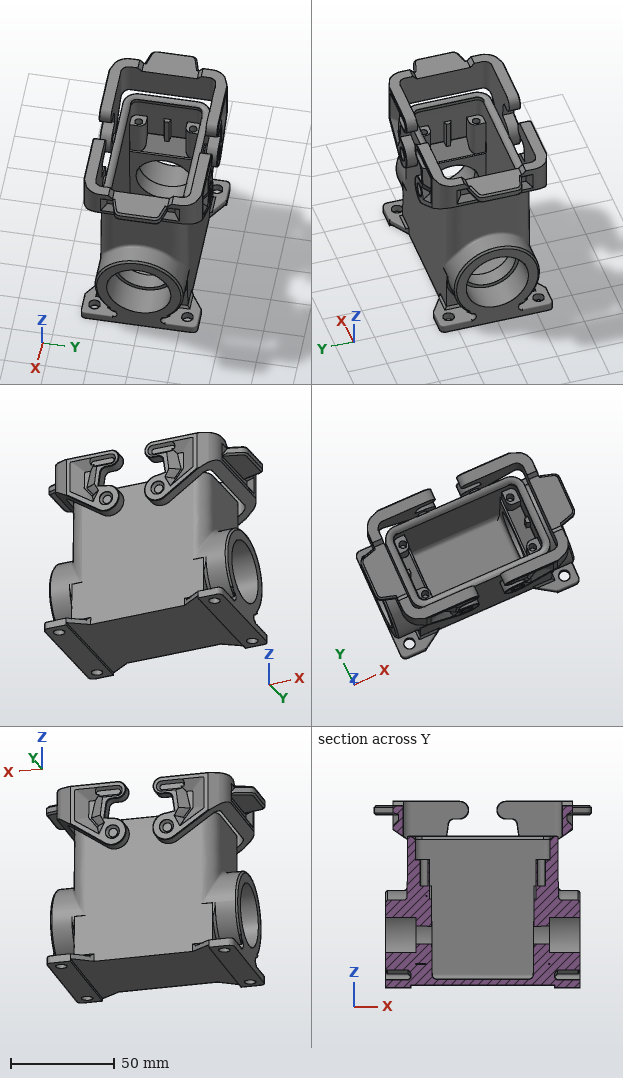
import cadquery as cq
import math

total_height = 90.2
body_bottom = 1.3
rim_top = 73.4
rim_outer_edge = 73.2
rim_inner_edge = 71.6
rim_bulge = 0.7
draft_top = 68.5
body_half_x = 36.4
body_half_y = 21.3
body_corner_radius = 7.0
wall_draft = 0.55
base_half_x = 34.8

opening_half_x = 32.4
opening_half_y = 17.5
opening_corner_radius = 3.0
floor_level = 4.2
floor_fillet = 2.3
well_half_x = 25.0
shelf_half_x = 25.7
slope_bottom = 43.0
post_top = 62.0
slope_top = 49.4
post_length = 7.8
post_radius = 3.2
screw_x = 28.4
screw_y = 13.3
screw_radius = 1.84
screw_depth = 12.6
key_root_width = 3.6
key_tip_width = 2.1
key_depth = 2.0

entry_height = 25.5
collar_radius = 21.6
collar_end = 47.0
collar_chamfer = 0.9
neck_fillet = 1.3
entry_radius = 15.8
bore_radius = 14.0
entry_depth = 14.7
web_half_width = 10.7
web_flare = 2.1

foot_half_y = 28.6
foot_height = 4.0
foot_corner_radius = 2.5
foot_edge = 0.6
gusset_x = 23.7
foot_root = 1.2
foot_hole_x = 41.0
foot_hole_y = 22.8
foot_hole_radius = 2.7

lever_x = 43.5
lever_half_y = 29.03
arm_thickness = 5.8
end_thickness = 5.1
arm_edge = 0.3
lever_corner_start = 9.0
lever_corner_bend_x = 3.8
lever_corner_bend_y = 2.05
lever_corner_radius = 8.4
lever_inner_radius = 3.8
lever_corner_height = 76.5
nose_x = 11.1
nose_radius = 4.3
pivot_x = 13.6
pivot_height = 64.6
pivot_boss_radius = 6.9
hook_x = 16.6
hook_height = 78.8
hook_radius = 2.8
throat_x = 17.5
throat_height = 72.2
pin_radius = 2.2
pin_base_radius = 3.5
pin_recess = 1.6
pin_embed = 2.1
pin_bevel = pin_base_radius - pin_radius
lever_pocket_depth = 2.8
lever_pocket_fillet = 1.6
slot_x = 16.0
slot_height = 85.5
slot_length = 14.7
slot_width = 5.4
slot_depth = 1.6
slot_taper = 40

tab_end = 52.5
tab_end_half_y = 10.7
tab_root_half_y = 13.3
tab_top = 88.1
tab_bottom = 83.6
tab_corner_radius = 3.2
tab_edge = 0.9
notch_half_y = 13.5
notch_top_half_y = 15.5
grip_half_y = 19.3
grip_bottom = 78.2
grip_top = 86.9
grip_depth = 2.7


def block(x0, x1, y0, y1, z0, z1):
    return cq.Workplane("XY").box(x1 - x0, y1 - y0, z1 - z0, centered=False).translate((x0, y0, z0))


def rounded_prism(half_x, half_y, radius, z0, z1):
    prism = block(-half_x, half_x, -half_y, half_y, z0, z1)
    return prism.edges("|Z").fillet(radius)


def in_four_corners(shape):
    pair = shape.union(shape.mirror("YZ"))
    return pair.union(pair.mirror("XZ"))


def cylinder_y(x, z, radius, y0, y1):
    return cq.Workplane("XZ", origin=(x, y0, z)).circle(radius).extrude(y0 - y1)


def cylinder_x(radius, x0, x1):
    return cq.Workplane("YZ", origin=(x0, 0, entry_height)).circle(radius).extrude(x1 - x0)


def make_rim_cutter():
    """Ring that leaves the rim domed between its outer and inner edges."""
    wall = body_half_y - opening_half_y
    path = rounded_prism(body_half_x, body_half_y, body_corner_radius, rim_top, total_height).faces("<Z").wires()
    middle = (rim_outer_edge + rim_inner_edge) / 2 + rim_bulge
    profile = (
        cq.Workplane("YZ")
        .moveTo(body_half_y, rim_outer_edge)
        .threePointArc((body_half_y - wall / 2, middle), (opening_half_y, rim_inner_edge))
        .lineTo(opening_half_y, total_height)
        .lineTo(body_half_y, total_height)
        .close()
    )
    return profile.sweep(path)


def make_body():
    """Round-cornered housing whose lowest part has square corners."""
    upper = rounded_prism(body_half_x, body_half_y, body_corner_radius, draft_top, rim_top)
    drafted = (
        upper.faces("<Z").wires().toPending()
        .workplane(origin=(0, 0, draft_top))
        .extrude(draft_top - entry_height, taper=-wall_draft, combine=False)
    )
    base = (
        cq.Workplane("XY", origin=(0, 0, draft_top))
        .rect(2 * body_half_x, 2 * body_half_y)
        .extrude(body_bottom - draft_top, taper=-wall_draft)
    )
    base = base.intersect(block(-base_half_x, base_half_x, -collar_end, collar_end, body_bottom, entry_height))
    return upper.union(drafted).union(base)


def make_collar():
    """Cable entry boss at the -X end, with the web that joins it to the feet."""
    collar = cylinder_x(collar_radius, -collar_end, -shelf_half_x)
    reach = collar_radius * math.sin(math.radians(45))
    waist = web_half_width + web_flare
    web = (
        cq.Workplane("YZ", origin=(-collar_end, 0, 0))
        .moveTo(-reach, entry_height - reach)
        .lineTo(-waist, foot_height + 2 * web_flare)
        .threePointArc((-web_half_width, foot_height + web_flare), (-waist, foot_height))
        .lineTo(-waist, 0)
        .lineTo(waist, 0)
        .lineTo(waist, foot_height)
        .threePointArc((web_half_width, foot_height + web_flare), (waist, foot_height + 2 * web_flare))
        .lineTo(reach, entry_height - reach)
        .close()
        .extrude(collar_end - base_half_x)
    )
    lower_neck = (
        cq.Workplane("YZ", origin=(-base_half_x, 0, entry_height))
        .circle(collar_radius + neck_fillet)
        .extrude(-neck_fillet, taper=45)
        .intersect(block(-collar_end, 0, -collar_radius, collar_radius, foot_height, entry_height))
    )
    return collar.faces("<X").edges().chamfer(collar_chamfer).union(web).union(lower_neck)


def fillet_neck(housing, side):
    """Round the joint between the upper wall and the collar at one end (side is -1 or 1)."""
    near_x = side * shelf_half_x
    far_x = side * (collar_end - neck_fillet)
    neck = cq.selectors.BoxSelector(
        (min(near_x, far_x), -foot_half_y, entry_height + neck_fillet),
        (max(near_x, far_x), foot_half_y, entry_height + collar_radius),
    )
    return housing.edges(neck).edges("not %LINE").fillet(neck_fillet)


def make_foot():
    """Corner foot at -X, -Y; its gusset fades out along the side of the body."""
    outline = (
        cq.Workplane("XY")
        .moveTo(-collar_end, 0)
        .lineTo(-collar_end, -foot_half_y)
        .lineTo(-base_half_x, -foot_half_y)
        .lineTo(-gusset_x, -body_half_y)
        .lineTo(-gusset_x, 0)
        .close()
        .extrude(foot_height + foot_root)
        .edges("|Z").edges("<X").edges("<Y").fillet(foot_corner_radius)
    )
    foot = outline.intersect(block(-collar_end, 0, -foot_half_y, 0, 0, foot_height))
    foot = foot.faces(">Z").edges().fillet(foot_edge)
    base_half_y = body_half_y + (draft_top - foot_height) * math.tan(math.radians(wall_draft))
    relief = block(-base_half_x, 0, -foot_half_y, 0, 0, body_bottom)
    hole = cq.Workplane("XY").center(-foot_hole_x, -foot_hole_y).circle(foot_hole_radius).extrude(foot_height)
    root = block(
        -base_half_x - foot_root, -gusset_x, -base_half_y - foot_root, 0,
        body_bottom, foot_height + foot_root,
    )
    root = root.faces(">Z").edges("<X or >X or <Y").chamfer(foot_root).intersect(outline)
    return foot.union(root).cut(relief).cut(hole)


def make_cavity():
    lower = (
        cq.Workplane("XY", origin=(0, 0, draft_top))
        .rect(2 * well_half_x, 2 * opening_half_y)
        .extrude(floor_level - draft_top, taper=wall_draft)
        .faces("<Z").edges().fillet(floor_fillet)
    )
    upper = rounded_prism(opening_half_x, opening_half_y, opening_corner_radius, draft_top, total_height)
    drafted = (
        upper.faces("<Z").wires().toPending()
        .workplane(origin=(0, 0, draft_top))
        .extrude(draft_top - slope_top, taper=wall_draft, combine=False)
    )
    slope_half_y = opening_half_y - (draft_top - slope_bottom) * math.tan(math.radians(wall_draft))
    sloped = (
        cq.Workplane("XZ", origin=(0, slope_half_y, 0))
        .moveTo(-shelf_half_x, slope_bottom)
        .lineTo(-opening_half_x, slope_top)
        .lineTo(opening_half_x, slope_top)
        .lineTo(shelf_half_x, slope_bottom)
        .close()
        .extrude(2 * slope_half_y)
    )
    post = block(
        -opening_half_x, -shelf_half_x, -opening_half_y, post_length - opening_half_y, slope_bottom, post_top
    )
    post = post.edges("|Z").edges(">X").edges(">Y").fillet(post_radius)
    key = (
        cq.Workplane("XY", origin=(-opening_half_x, 0, slope_bottom))
        .polyline([
            (0, -key_root_width / 2), (key_depth, -key_tip_width / 2),
            (key_depth, key_tip_width / 2), (0, key_root_width / 2),
        ])
        .close()
        .extrude(post_top - slope_bottom)
    )
    screw_hole = (
        cq.Workplane("XY", origin=(-screw_x, -screw_y, post_top)).circle(screw_radius).extrude(-screw_depth)
    )
    cavity = lower.union(sloped).union(drafted).union(upper)
    cavity = cavity.cut(in_four_corners(post)).cut(key).cut(key.mirror("YZ"))
    return cavity.union(in_four_corners(screw_hole))


def make_lever_plan():
    """Plan outline of the -X lever; each corner is an arc that runs out in a flat."""
    start_y = lever_half_y - lever_corner_start
    bend_y = lever_half_y - lever_corner_bend_y
    flat_x = lever_corner_start - lever_x
    bend_x = lever_corner_bend_x - lever_x
    plan = (
        cq.Workplane("XY")
        .moveTo(0, -lever_half_y)
        .lineTo(flat_x, -lever_half_y)
        .lineTo(bend_x, -bend_y)
        .radiusArc((-lever_x, -start_y), lever_corner_radius)
        .lineTo(-lever_x, start_y)
        .radiusArc((bend_x, bend_y), lever_corner_radius)
        .lineTo(flat_x, lever_half_y)
        .lineTo(0, lever_half_y)
        .close()
        .extrude(total_height)
    )
    inner_x = lever_x - end_thickness
    inner_y = lever_half_y - arm_thickness
    return plan.cut(rounded_prism(inner_x, inner_y, lever_inner_radius, 0, total_height))


def make_lever_side():
    """Side outline of the -X lever, through the full width."""
    drop = lever_corner_height - pivot_height
    run = lever_x - pivot_x
    slope = math.atan2(drop, run) + math.asin(pivot_boss_radius / math.hypot(run, drop))
    tangent_x = -pivot_x - pivot_boss_radius * math.sin(slope)
    tangent_z = pivot_height - pivot_boss_radius * math.cos(slope)
    nose_z = total_height - nose_radius
    bend = hook_radius * (1 - math.cos(math.radians(45)))
    return (
        cq.Workplane("XZ", origin=(0, lever_half_y, 0))
        .moveTo(-lever_x, total_height)
        .lineTo(-nose_x, total_height)
        .threePointArc((nose_radius - nose_x, nose_z), (-nose_x, nose_z - nose_radius))
        .lineTo(hook_radius - hook_x, nose_z - nose_radius)
        .threePointArc((bend - hook_x, nose_z - nose_radius - bend), (-hook_x, hook_height))
        .lineTo(-throat_x, throat_height)
        .lineTo(-pivot_x, pivot_height + pivot_boss_radius)
        .threePointArc((pivot_boss_radius - pivot_x, pivot_height), (-pivot_x, pivot_height - pivot_boss_radius))
        .threePointArc(
            (-pivot_x - pivot_boss_radius * math.sin(slope / 2),
             pivot_height - pivot_boss_radius * math.cos(slope / 2)),
            (tangent_x, tangent_z),
        )
        .lineTo(-lever_x, lever_corner_height)
        .close()
        .extrude(2 * lever_half_y)
    )


def make_lever_pocket():
    """Hollow in the outer face of the -Y arm: a faceted funnel and a shallow slot in the nose."""
    mouth = [(-32.4, 88.1), (-17.7, 88.1), (-19.6, 73.6), (-17.5, 69.6), (-20.4, 64.0), (-32.4, 72.0)]
    floor = [(-26.0, 82.5), (-22.9, 82.5), (-24.9, 73.7), (-21.4, 69.3), (-21.8, 68.5), (-26.2, 74.0)]
    funnel = (
        cq.Workplane("XZ", origin=(0, -lever_half_y, 0))
        .polyline(mouth).close()
        .workplane(offset=-lever_pocket_depth)
        .polyline(floor).close()
        .loft(ruled=True)
    )
    outer_corners = cq.selectors.BoxSelector((-33.1, -lever_half_y - 1, 63), (-27.3, 0, 89.2))
    funnel = funnel.edges(outer_corners).edges("not #Y").fillet(lever_pocket_fillet)
    slot = (
        cq.Workplane("XZ", origin=(-slot_x, -lever_half_y, slot_height))
        .slot2D(slot_length, slot_width)
        .extrude(-slot_depth, taper=slot_taper)
    )
    return funnel.union(slot)


def make_grip():
    """Flat finger tab on the end of the -X lever."""
    tab = (
        cq.Workplane("XY", origin=(0, 0, tab_bottom))
        .moveTo(-tab_end, -tab_end_half_y)
        .lineTo(-tab_end, tab_end_half_y)
        .lineTo(-lever_x, tab_root_half_y)
        .lineTo(end_thickness - lever_x, tab_root_half_y)
        .lineTo(end_thickness - lever_x, -tab_root_half_y)
        .lineTo(-lever_x, -tab_root_half_y)
        .close()
        .extrude(tab_top - tab_bottom)
    )
    tab = tab.edges("|Z").edges("<X").fillet(tab_corner_radius)
    free_edges = cq.selectors.BoxSelector(
        (-tab_end - 1, -lever_half_y, tab_bottom - 1), (-lever_x, lever_half_y, tab_top + 1)
    )
    return tab.faces("<Z or >Z").edges(free_edges).chamfer(tab_edge)


def make_lever():
    lever = make_lever_side().intersect(make_lever_plan())
    for side in ("<Y", ">Y"):
        lever = lever.faces(side).edges("not <X").chamfer(arm_edge)

    notch = (
        cq.Workplane("YZ", origin=(-lever_x, 0, 0))
        .polyline([
            (-notch_half_y, tab_top), (notch_half_y, tab_top),
            (notch_top_half_y, total_height), (-notch_top_half_y, total_height),
        ])
        .close()
        .extrude(end_thickness)
    )
    grip_recess = (
        cq.Workplane("YZ", origin=(-lever_x, 0, (grip_bottom + grip_top) / 2))
        .rect(2 * grip_half_y, grip_top - grip_bottom)
        .workplane(offset=grip_depth)
        .rect(2 * (grip_half_y - grip_depth), grip_top - grip_bottom - 2 * grip_depth)
        .loft()
    )
    lever = lever.cut(notch).cut(grip_recess).union(make_grip())

    pocket = make_lever_pocket()
    socket = cylinder_y(-pivot_x, pivot_height, pin_base_radius, -lever_half_y, pin_recess - lever_half_y)
    socket = socket.faces(">Y").edges().chamfer(pin_bevel)
    for cutter in (pocket, socket):
        lever = lever.cut(cutter).cut(cutter.mirror("XZ"))

    inner_y = lever_half_y - arm_thickness
    pin = cylinder_y(-pivot_x, pivot_height, pin_base_radius, -inner_y, pin_embed - body_half_y)
    pin = pin.faces("<Y").edges().chamfer(pin_bevel)
    return lever.union(pin).union(pin.mirror("XZ"))


housing = make_body()
collar = make_collar()
housing = housing.union(collar).union(collar.mirror("YZ"))
housing = fillet_neck(fillet_neck(housing, -1), 1)
housing = housing.union(in_four_corners(make_foot())).cut(make_rim_cutter())
housing = housing.cut(make_cavity()).cut(cylinder_x(bore_radius, -collar_end, collar_end))
entry = cylinder_x(entry_radius, -collar_end, entry_depth - collar_end)
housing = housing.cut(entry).cut(entry.mirror("YZ"))

lever = make_lever()
result = housing.union(lever).union(lever.mirror("YZ"))